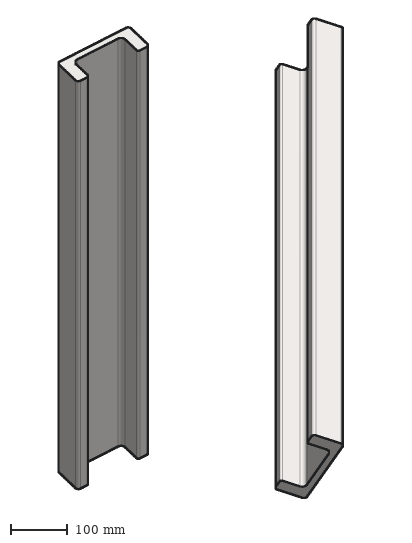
import cadquery as cq

LENGTH = 1000.0
DEPTH = 61.0
HEIGHT = 157.0

WEB = 14.0
FLANGE = 25.0

OUTER_RADIUS = 6.0
TIP_INNER_RADIUS = 4.0
ROOT_RADIUS = 9.0

OPENING = HEIGHT - 2 * FLANGE


def rounded_bar():
    """Solid bar with its four long corners rounded."""
    bar = cq.Workplane("XY").box(DEPTH, HEIGHT, LENGTH)
    return bar.edges("|Z").fillet(OUTER_RADIUS)


def channel_opening():
    """Void between the flanges, open towards +X, with rounded root corners."""
    web_face = WEB - DEPTH / 2
    void = (
        cq.Workplane("XY")
        .box(DEPTH, OPENING, LENGTH, centered=(False, True, True))
        .translate((web_face, 0, 0))
    )
    return void.edges("|Z and <X").fillet(ROOT_RADIUS)


def round_flange_tips(channel):
    """Round the inner long edge of each flange tip."""
    return channel.edges("|Z and >X").edges(
        cq.selectors.BoxSelector(
            (0, -HEIGHT / 2 + FLANGE / 2, -LENGTH),
            (DEPTH, HEIGHT / 2 - FLANGE / 2, LENGTH),
        )
    ).fillet(TIP_INNER_RADIUS)


result = round_flange_tips(rounded_bar().cut(channel_opening()))